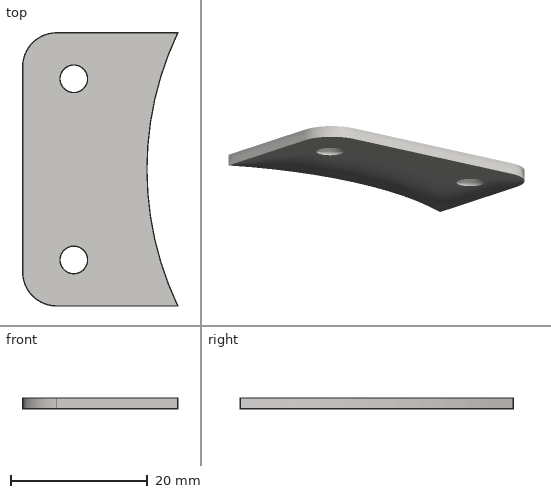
import cadquery as cq
import math

length_x = 22.74
width_y = 40.0
thickness = 1.62
corner_radius = 5.0

edge_arc_radius = 46.5

hole_diameter = 4.0
hole_inset = 7.5
hole_spacing = 26.5

half_width = width_y / 2
arc_depth = edge_arc_radius - math.sqrt(edge_arc_radius**2 - half_width**2)
waist_x = length_x - arc_depth


def make_plate():
    """Flat plate with a concave +X edge and rounded -X corners."""
    outline = (
        cq.Workplane("XY")
        .moveTo(0, -half_width)
        .lineTo(length_x, -half_width)
        .threePointArc((waist_x, 0), (length_x, half_width))
        .lineTo(0, half_width)
        .close()
    )
    plate = outline.extrude(thickness)
    return plate.edges("|Z and <X").fillet(corner_radius)


def make_hole_cutters():
    """Two through-hole cylinders placed symmetrically about the X axis."""
    centres = [(hole_inset, side * hole_spacing / 2) for side in (-1, 1)]
    return cq.Workplane("XY").pushPoints(centres).circle(hole_diameter / 2).extrude(thickness)


result = make_plate().cut(make_hole_cutters())